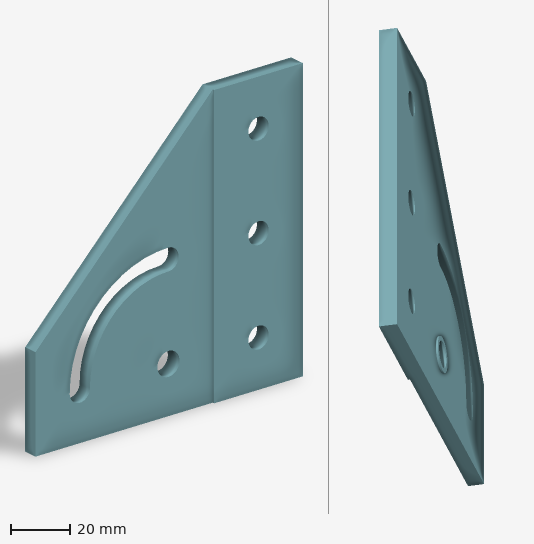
import cadquery as cq
import math

side = 114.3
pitch = side / 3
plate_thickness = 5.6
step = 0.74
hole_diameter = 8.7
slot_width = 8.7
bushing_outer_diameter = 12.7
bushing_bore = 9.5

edge_offset = pitch / 2
pivot_y = side / 2
pivot_z = edge_offset
hole_y = side - edge_offset
total_thickness = plate_thickness + step


def rod(diameter, start_x, length, y, z):
    """Cylinder along +X that starts at start_x."""
    return cq.Workplane("YZ", origin=(start_x, y, z)).circle(diameter / 2).extrude(length)


def pivot_point(radius, angle):
    """Point around the pivot, with the angle in degrees from -Y towards +Z."""
    turn = math.radians(angle)
    return (pivot_y - radius * math.cos(turn), pivot_z + radius * math.sin(turn))


def make_blank():
    """Square plate with one corner cut off and a raised rail along its +Y edge on the back."""
    plate = (
        cq.Workplane("YZ")
        .polyline([(0, 0), (side, 0), (side, side), (side - pitch, side), (0, pitch)])
        .close()
        .extrude(plate_thickness)
    )
    rail = cq.Workplane("XY").box(total_thickness, pitch, side, centered=False)
    return plate.union(rail.translate((0, side - pitch, 0)))


def make_slot():
    """Quarter-circle slot around the pivot, with round ends."""
    inner = pitch - slot_width / 2
    outer = pitch + slot_width / 2
    end_radius = slot_width / 2
    low_y, low_z = pivot_point(pitch, 0)
    high_y, high_z = pivot_point(pitch, 90)
    return (
        cq.Workplane("YZ")
        .moveTo(*pivot_point(outer, 0))
        .threePointArc(pivot_point(outer, 45), pivot_point(outer, 90))
        .threePointArc((high_y + end_radius, high_z), pivot_point(inner, 90))
        .threePointArc(pivot_point(inner, 45), pivot_point(inner, 0))
        .threePointArc((low_y, low_z - end_radius), pivot_point(outer, 0))
        .close()
        .extrude(plate_thickness)
    )


def make_plate():
    """Plate with the mounting holes, the curved slot and the bushing seat."""
    body = make_blank()
    for row in range(3):
        body = body.cut(rod(hole_diameter, 0, total_thickness, hole_y, edge_offset + row * pitch))
    body = body.cut(make_slot())
    return body.cut(rod(bushing_outer_diameter, 0, plate_thickness, pivot_y, pivot_z))


def make_bushing():
    """Sleeve in the pivot hole, flush at the back and proud of the front face."""
    sleeve = rod(bushing_outer_diameter, -step, total_thickness, pivot_y, pivot_z)
    return sleeve.cut(rod(bushing_bore, -step, total_thickness, pivot_y, pivot_z))


plate = make_plate()
bushing = make_bushing()

result = cq.Compound.makeCompound([plate.solids().val(), bushing.solids().val()])